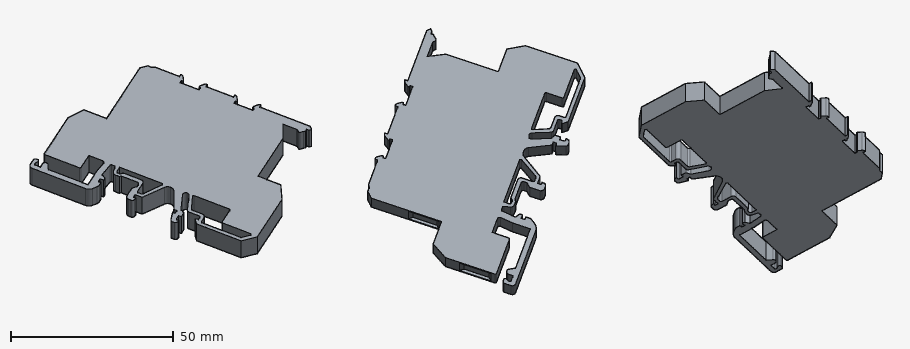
import cadquery as cq
import math


LENGTH = 75.7
HEIGHT = 54.6
THICKNESS = 8.0
LEFT = -LENGTH / 2
RIGHT = LENGTH / 2
TOP = HEIGHT / 2
BOTTOM = -HEIGHT / 2

TOWER_LEFT = -25.2
TOWER_RIGHT = 27.0
TOWER_TOP = 26.35
BASE_LEFT = -35.95
SHOULDER_Y = 1.05
SHOULDER_RUN = 2.95
SHOULDER_DROP = 5.1
UNDERSIDE = -14.8
LEFT_PAD_BOTTOM = -20.6
LEFT_PAD_INNER = -23.3
RIGHT_PAD_BOTTOM = -20.8
RIGHT_PAD_INNER = 25.4

SOCKET_CENTRES = (-8.2, 10.4)
SOCKET_FLOOR = 24.2
SOCKET_HALF_WIDTH = 3.25
LATCH_OUTER = 4.55
LATCH_CROWN = 3.85
LATCH_CROWN_RADIUS = 1.1
LATCH_TIP = 2.7
LATCH_LIP_BOTTOM = 25.1
LATCH_LIP_TOP = 25.6

FOOT_TOP = -25.5
SPRING_UNDERSIDE = -17.8
SPRING_TOP = -16.4
CLIP_ROOT_Y = -22.6
CLIP_SLOT_BOTTOM = -23.8
RIGHT_FOOT_BOTTOM = -24.75
RIGHT_FOOT_TOP = -23.55

TINY_RADIUS = 0.15
SMALL_RADIUS = 0.4
MEDIUM_RADIUS = 0.75
LARGE_RADIUS = 1.1
ARCH_RADIUS = 1.8
HEEL_RADIUS = 2.3
SLOT_RADIUS = 1.0

RECESS_DEPTH = 0.9
TOWER_RECESS_TOP = 11.9
TOWER_RECESS_LENGTH = 10.0
BASE_RECESS_TOP = -8.6
BASE_RECESS_LENGTH = 10.3
RECESS_UPPER_SLOPE = 1.2
RECESS_LOWER_SLOPE = 1.0
RECESS_RIM = 0.7


def rounded_profile(corners):
    """Closed wire through (x, y) or (x, y, radius) corners, with tangent arcs at the radii."""
    segments = []
    for index, corner in enumerate(corners):
        here = cq.Vector(*corner[:2])
        radius = corner[2] if len(corner) > 2 else 0
        if radius == 0:
            segments.append((here,))
            continue
        to_previous = (cq.Vector(*corners[index - 1][:2]) - here).normalized()
        to_next = (cq.Vector(*corners[(index + 1) % len(corners)][:2]) - here).normalized()
        half_angle = to_previous.getAngle(to_next) / 2
        setback = radius / math.tan(half_angle)
        bisector = (to_previous + to_next).normalized()
        middle = here + bisector * (radius / math.sin(half_angle) - radius)
        segments.append((here + to_previous * setback, middle, here + to_next * setback))

    profile = cq.Workplane("XY").moveTo(*segments[0][-1].toTuple()[:2])
    for segment in segments[1:] + segments[:1]:
        profile = profile.lineTo(*segment[0].toTuple()[:2])
        if len(segment) == 3:
            profile = profile.threePointArc(segment[1].toTuple()[:2], segment[2].toTuple()[:2])
    return profile.close()


def marker_socket(centre):
    """Corners of one socket and its two latches, from left to right."""
    right_half = [
        (SOCKET_HALF_WIDTH, SOCKET_FLOOR),
        (SOCKET_HALF_WIDTH, LATCH_LIP_BOTTOM),
        (LATCH_TIP, LATCH_LIP_BOTTOM),
        (LATCH_TIP, LATCH_LIP_TOP),
        (LATCH_CROWN, TOP, LATCH_CROWN_RADIUS),
        (LATCH_OUTER, TOP),
        (LATCH_OUTER, TOWER_TOP),
    ]
    left = [(centre - x, *rest) for x, *rest in reversed(right_half)]
    right = [(centre + x, *rest) for x, *rest in right_half]
    return left + right


left_side = [
    (BASE_LEFT, LEFT_PAD_BOTTOM, SMALL_RADIUS),
    (BASE_LEFT, SHOULDER_Y - SHOULDER_DROP),
    (BASE_LEFT + SHOULDER_RUN, SHOULDER_Y),
    (TOWER_LEFT, SHOULDER_Y),
    (TOWER_LEFT, 24.0),
]

top_edge = [
    (-23.3, 25.9),
    (-22.1, 25.75),
    (-21.3, TOWER_TOP),
]
for socket_centre in SOCKET_CENTRES:
    top_edge += marker_socket(socket_centre)

top_hook = [
    (32.3, TOWER_TOP),
    (33.3, 25.35),
    (32.8, 24.75),
    (31.9, 24.75),
    (31.9, 23.85),
    (31.4, 23.55),
    (30.4, 22.4, SMALL_RADIUS),
    (29.3, 23.3),
    (24.4, 23.3),
]

right_side = [
    (TOWER_RIGHT, 18.25),
    (TOWER_RIGHT, SHOULDER_Y),
    (RIGHT - SHOULDER_RUN, SHOULDER_Y),
    (RIGHT, SHOULDER_Y - SHOULDER_DROP),
    (RIGHT, -21.05),
]

right_foot = [
    (34.15, RIGHT_FOOT_BOTTOM),
    (18.8, RIGHT_FOOT_BOTTOM),
    (17.3, -23.1, TINY_RADIUS),
    (18.5, -22.85),
    (18.5, -21.5, SMALL_RADIUS),
    (13.9, -21.5, MEDIUM_RADIUS),
]

right_claw = [
    (11.3, UNDERSIDE, SLOT_RADIUS),
    (9.1, UNDERSIDE, SLOT_RADIUS),
    (11.8, -21.65, SMALL_RADIUS),
    (13.25, -22.4, SMALL_RADIUS),
    (13.25, -24.2),
    (12.35, -24.2),
    (12.35, -25.9, SMALL_RADIUS),
    (13.3, -26.05),
    (13.0, BOTTOM, MEDIUM_RADIUS),
    (11.05, BOTTOM, MEDIUM_RADIUS),
    (10.0, CLIP_SLOT_BOTTOM),
    (10.9, CLIP_SLOT_BOTTOM),
    (10.9, CLIP_ROOT_Y),
    (9.85, CLIP_ROOT_Y),
]

left_claw = [
    (6.1, -15.1, ARCH_RADIUS),
    (3.85, -15.1, ARCH_RADIUS),
    (-1.05, CLIP_ROOT_Y),
    (-3.5, CLIP_ROOT_Y),
    (-3.5, CLIP_SLOT_BOTTOM),
    (-2.65, CLIP_SLOT_BOTTOM),
    (-2.9, -25.2, MEDIUM_RADIUS),
    (-5.5, -25.2, LARGE_RADIUS),
    (-5.5, -20.75, SMALL_RADIUS),
    (-4.4, -19.45, SMALL_RADIUS),
]

spring = [
    (-4.4, SPRING_UNDERSIDE, MEDIUM_RADIUS),
    (-10.7, SPRING_UNDERSIDE),
    (-11.1, -18.25),
    (-13.4, -18.25, LARGE_RADIUS),
    (-14.15, -15.1, SMALL_RADIUS),
    (-15.7, -15.1, SMALL_RADIUS),
]

left_foot = [
    (-16.2, -19.9),
    (-14.75, -20.8),
    (-14.75, -21.7),
    (-16.0, -21.7),
    (-16.0, -22.85),
    (-15.1, -22.85),
    (-15.1, -24.6, ARCH_RADIUS),
    (-17.0, BOTTOM, HEEL_RADIUS),
    (LEFT, BOTTOM, LARGE_RADIUS),
    (LEFT, -23.3, MEDIUM_RADIUS),
    (-36.3, -23.3, TINY_RADIUS),
    (-36.1, -24.0, TINY_RADIUS),
    (-36.7, -24.9, TINY_RADIUS),
    (-36.7, -25.7, SMALL_RADIUS),
    (-34.6, -25.7),
    (-34.6, -23.3, MEDIUM_RADIUS),
    (-33.2, -23.3, MEDIUM_RADIUS),
    (-31.95, FOOT_TOP),
    (-18.3, FOOT_TOP),
    (-18.3, -19.7),
    (-17.8, UNDERSIDE, MEDIUM_RADIUS),
    (LEFT_PAD_INNER, UNDERSIDE),
    (LEFT_PAD_INNER, LEFT_PAD_BOTTOM, SMALL_RADIUS),
]

outer_profile = (
    left_side + top_edge + top_hook + right_side + right_foot + right_claw + left_claw + spring + left_foot
)

spring_opening = [
    (-12.7, UNDERSIDE),
    (-12.7, -17.2, MEDIUM_RADIUS),
    (-11.2, -17.2, SMALL_RADIUS),
    (-10.8, SPRING_TOP),
    (-3.4, SPRING_TOP, LARGE_RADIUS),
    (-3.4, -21.5, SMALL_RADIUS),
    (-1.6, -21.5, MEDIUM_RADIUS),
    (2.5, UNDERSIDE, SMALL_RADIUS),
]
foot_opening = [
    (12.4, UNDERSIDE, SMALL_RADIUS),
    (14.75, -20.4, MEDIUM_RADIUS),
    (19.7, -20.4, LARGE_RADIUS),
    (19.7, RIGHT_FOOT_TOP, SMALL_RADIUS),
    (33.5, RIGHT_FOOT_TOP, SMALL_RADIUS),
    (36.25, RIGHT_PAD_BOTTOM, SMALL_RADIUS),
    (RIGHT_PAD_INNER, RIGHT_PAD_BOTTOM, SMALL_RADIUS),
    (RIGHT_PAD_INNER, UNDERSIDE, SMALL_RADIUS),
]


def label_recess(face_x, top_y, length):
    """Shallow recess cut into a -X face, with both ends sloping down to its floor."""
    bottom_y = top_y - length
    floor_x = face_x + RECESS_DEPTH
    outline = [
        (face_x, top_y),
        (floor_x, top_y - RECESS_UPPER_SLOPE),
        (floor_x, bottom_y + RECESS_LOWER_SLOPE),
        (face_x, bottom_y),
    ]
    recess = cq.Workplane("XY").polyline(outline).close().extrude(THICKNESS - 2 * RECESS_RIM)
    return recess.translate((0, 0, RECESS_RIM))


result = rounded_profile(outer_profile).extrude(THICKNESS)
for opening in (spring_opening, foot_opening):
    result = result.cut(rounded_profile(opening).extrude(THICKNESS))

result = result.cut(label_recess(TOWER_LEFT, TOWER_RECESS_TOP, TOWER_RECESS_LENGTH))
result = result.cut(label_recess(BASE_LEFT, BASE_RECESS_TOP, BASE_RECESS_LENGTH))